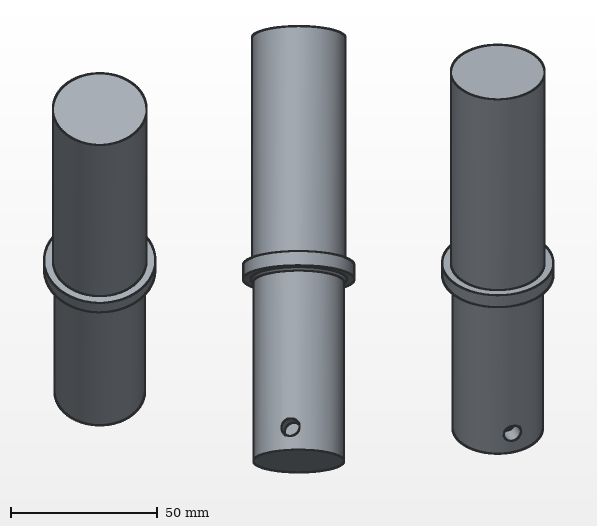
import cadquery as cq

lower_diameter = 31.0
lower_length = 64.0
collar_diameter = 38.0
collar_thickness = 5.0
upper_diameter = 32.0
upper_length = 80.0

shoulder_size = 1.0

cross_hole_diameter = 6.2
cross_hole_depth = cross_hole_diameter
cross_hole_height = 8.0

lower_radius = lower_diameter / 2
upper_radius = upper_diameter / 2
collar_radius = collar_diameter / 2
collar_bottom = lower_length
collar_top = collar_bottom + collar_thickness
overall_length = collar_top + upper_length


def turned_body():
    """Revolve the half profile of the stepped pin about the Z axis."""
    profile = (
        cq.Workplane("XZ")
        .moveTo(0, 0)
        .lineTo(lower_radius, 0)
        .lineTo(lower_radius, collar_bottom - shoulder_size)
        .lineTo(lower_radius + shoulder_size, collar_bottom)
        .lineTo(collar_radius, collar_bottom)
        .lineTo(collar_radius, collar_top)
        .lineTo(upper_radius, collar_top)
        .lineTo(upper_radius, overall_length)
        .lineTo(0, overall_length)
        .close()
    )
    return profile.revolve(360, (0, 0, 0), (0, 1, 0))


def cross_hole():
    """Cylinder that enters the lower shank radially from +Y."""
    bottom_y = lower_radius - cross_hole_depth
    bottom_center = cq.Vector(0, bottom_y, cross_hole_height)
    outward = cq.Vector(0, 1, 0)
    cutter = cq.Solid.makeCylinder(cross_hole_diameter / 2, cross_hole_depth, bottom_center, outward)
    return cq.Workplane(obj=cutter)


result = turned_body().cut(cross_hole())